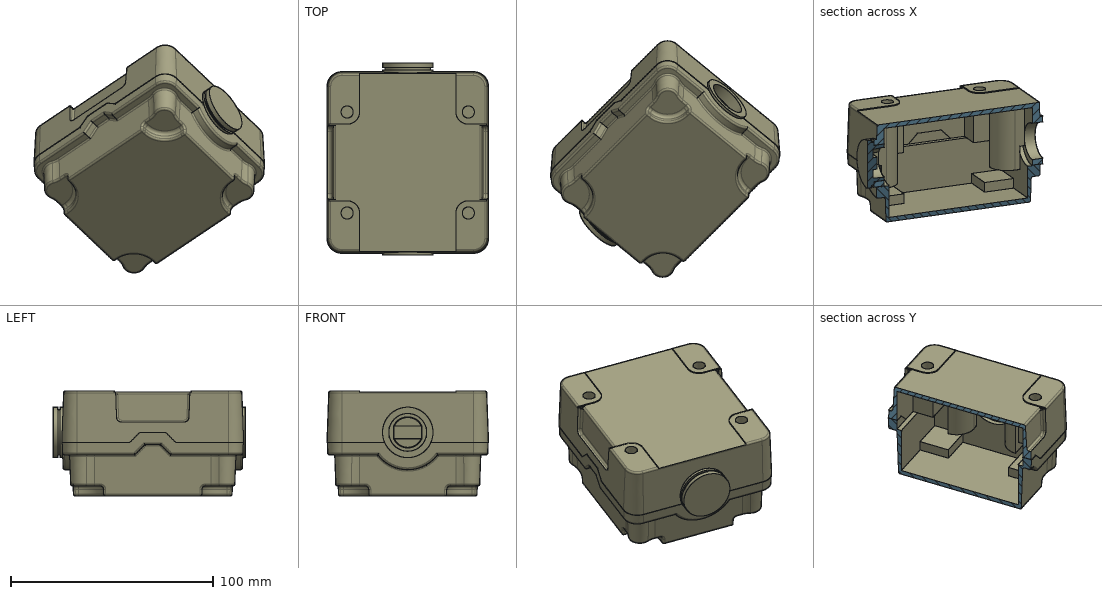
import cadquery as cq
import math

DRAFT = 2.0
EDGE_RADIUS = 1.0

HALF_X = 40.0
HALF_Y = 45.0
CORNER_RADIUS = 7.5
HOUSING_HEIGHT = 25.5
HOUSING_WALL = 5.0
CEILING = 3.0
CAVITY_X = HALF_X - HOUSING_WALL
CAVITY_Y = HALF_Y - HOUSING_WALL

PAD_HEIGHT = 0.5
PAD_X = 23.85
PAD_Y = 19.0
PAD_RADIUS = 6.0
MOUNT_X = 30.0
MOUNT_Y = 25.0
MOUNT_DIAMETER = 6.0
MOUNT_DEPTH = 20.0

GRIP_BOTTOM_Z = 10.0
GRIP_DEPTH = 2.15
GRIP_BOTTOM_HALF_WIDTH = 17.85
GRIP_CORNER_RADIUS = 2.5
GRIP_DRAFT = 3.5

PORT_Z = 5.0
PORT_DIAMETER = 18.7
COLLAR_DIAMETER = 25.0
COLLAR_END = 45.9
POST_X = 9.3
POST_RADIUS = 9.5
POST_ARC_Y = 34.8
POST_BOTTOM_Z = -12.0

FLANGE_DEPTH = 6.1
TONGUE_TOP_HALF_WIDTH = 6.4
TONGUE_HEIGHT = 5.0
TONGUE_BASE_HALF_WIDTH = TONGUE_TOP_HALF_WIDTH + TONGUE_HEIGHT
SKIRT_RADIUS = 18.5
FLANGE_ROOT_RADIUS = 0.75

LID_X = 35.2
LID_Y = 40.2
LID_BOTTOM_Z = -26.5
LID_WALL = 2.5
LID_CAVITY_X = 32.5
LID_CAVITY_Y = 37.5
COLUMN_INSET = 5.2
COLUMN_X = LID_X - COLUMN_INSET
COLUMN_Y = LID_Y - COLUMN_INSET
COLUMN_RADIUS = 6.4
COLUMN_BLEND_RADIUS = 9.8

UNDERCUT_X = 19.3
UNDERCUT_Y = 24.3
UNDERCUT_TOP_Z = -21.5
UNDERCUT_SIZE = 40.0
UNDERCUT_CORNER_RADIUS = 12.5
UNDERCUT_TOP_RADIUS = 1.8

PLUG_END = 49.37
PLUG_HEAD_THICKNESS = 2.4
PLUG_NECK_DIAMETER = 22.6
PLUG_INNER_END = CAVITY_Y
POCKET_RADIUS = 7.7
POCKET_HALF_WIDTH = 7.0
POCKET_DEPTH = 6.0
POCKET_DRAFT = 3.0
BAR_HALF_HEIGHT = 3.25
BAR_HEIGHT = 2.0

CORNERS = [(sx, sy) for sx in (-1, 1) for sy in (-1, 1)]
BIG = 200.0

PICK_GAP = 1.0
PICK_TOP_Z = -0.5


def box(x0, x1, y0, y1, z0, z1):
    """Axis-aligned box given by any two opposite corners."""
    return cq.Workplane("XY").box(abs(x1 - x0), abs(y1 - y0), abs(z1 - z0)).translate(
        ((x0 + x1) / 2, (y0 + y1) / 2, (z0 + z1) / 2)
    )


def y_cylinder(diameter, y0, y1):
    """Cylinder on the port axis between two Y positions."""
    plane = cq.Plane(origin=(0, y0, PORT_Z), xDir=(1, 0, 0), normal=(0, 1, 0))
    return cq.Workplane(plane).circle(diameter / 2).extrude(y1 - y0)


def drafted_block(base_z, direction, height):
    """Rounded block that narrows away from its full-size base; direction is +1 up or -1 down."""
    plane = cq.Plane(origin=(0, 0, base_z), xDir=(1, 0, 0), normal=(0, 0, direction))
    outline = cq.Sketch().rect(2 * HALF_X, 2 * HALF_Y).vertices().fillet(CORNER_RADIUS)
    return cq.Workplane(plane).placeSketch(outline).extrude(height, taper=DRAFT)


def tongue(offset):
    """Trapezoid along X, offset square to its sides below the tongue outline."""
    shift = offset * math.tan(math.pi / 8)
    base = TONGUE_BASE_HALF_WIDTH - shift
    top = TONGUE_TOP_HALF_WIDTH - shift
    z0 = -offset
    z1 = TONGUE_HEIGHT - offset
    skirt_z = z0 - BIG
    profile = [(-base, skirt_z), (-base, z0), (-top, z1), (top, z1), (base, z0), (base, skirt_z)]
    return cq.Workplane("YZ").polyline(profile).close().extrude(BIG / 2, both=True)


def tongue_pair():
    """Both tongues, running from the cavity out past the housing's X sides."""
    sides = box(-BIG, BIG, -BIG, BIG, 0, BIG).cut(box(-CAVITY_X, CAVITY_X, -BIG, BIG, -BIG, BIG))
    return tongue(0).intersect(sides)


def grip_wall_x(z):
    """X of the recess back wall at a height; the wall leans inwards going up."""
    bottom_x = HALF_X - GRIP_BOTTOM_Z * math.tan(math.radians(DRAFT)) - GRIP_DEPTH
    return bottom_x - (z - GRIP_BOTTOM_Z) * math.tan(math.radians(GRIP_DRAFT))


def grip_half_width(rise):
    """Half width of the recess at a distance above its bottom."""
    return GRIP_BOTTOM_HALF_WIDTH + rise * math.tan(math.radians(DRAFT))


def grip_cutter():
    """Finger recess on the +X side, with rounded corners and a filleted foot."""
    lean = math.radians(GRIP_DRAFT)
    plane = cq.Plane(
        origin=(grip_wall_x(GRIP_BOTTOM_Z), 0, GRIP_BOTTOM_Z),
        xDir=(0, 1, 0),
        normal=(math.cos(lean), 0, math.sin(lean)),
    )
    height = HOUSING_HEIGHT
    bottom = grip_half_width(0)
    top = grip_half_width(height)
    cutter = (
        cq.Workplane(plane)
        .polyline([(-bottom, 0), (bottom, 0), (top, height), (-top, height)])
        .close()
        .extrude(3 * GRIP_DEPTH)
    )
    outward = cq.selectors.ParallelDirSelector(plane.zDir)
    cutter = cutter.edges(outward).edges("<Z").fillet(GRIP_CORNER_RADIUS)
    back_wall = cq.selectors.DirectionMinMaxSelector(plane.zDir, False)
    return cutter.faces(back_wall).edges("not(>Z)").fillet(EDGE_RADIUS)


def grip_rim_cutter():
    """Sliver that rounds the edge between the lowered roof and the +X recess wall."""
    lean = math.radians(GRIP_DRAFT)
    top_z = HOUSING_HEIGHT - PAD_HEIGHT
    rim_x = grip_wall_x(top_z)
    tangent = EDGE_RADIUS / math.tan(math.pi / 4 + lean / 2)
    wall_point = (rim_x + tangent * math.sin(lean), top_z - tangent * math.cos(lean))
    outer_x = rim_x + EDGE_RADIUS
    return (
        cq.Workplane("XZ")
        .moveTo(rim_x - tangent, top_z)
        .radiusArc(wall_point, EDGE_RADIUS)
        .lineTo(outer_x, wall_point[1])
        .lineTo(outer_x, top_z)
        .close()
        .extrude(grip_half_width(top_z - GRIP_BOTTOM_Z), both=True)
    )


def inner_post():
    """Post hung from the ceiling beside a port, rounded towards the box centre."""
    end_y = POST_ARC_Y - POST_RADIUS
    outer_x = POST_X + POST_RADIUS
    post = (
        cq.Workplane("XY")
        .workplane(offset=POST_BOTTOM_Z)
        .moveTo(POST_X, CAVITY_Y)
        .lineTo(POST_X, POST_ARC_Y)
        .radiusArc((outer_x, end_y), -POST_RADIUS)
        .lineTo(outer_x, CAVITY_Y)
        .close()
        .extrude(HOUSING_HEIGHT - CEILING - POST_BOTTOM_Z)
    )
    lid_wall = box(-BIG, BIG, LID_CAVITY_Y, BIG, POST_BOTTOM_Z, 0)
    return post.cut(lid_wall)


def corner_boxes(x, y, z0, z1):
    """One open-ended box beyond (x, y) in every quadrant."""
    return [box(sx * x, sx * BIG, sy * y, sy * BIG, z0, z1) for sx, sy in CORNERS]


def make_housing():
    top_z = HOUSING_HEIGHT - PAD_HEIGHT
    body = drafted_block(0, 1, HOUSING_HEIGHT).faces(">Z").edges().fillet(EDGE_RADIUS)

    roof = box(-BIG, BIG, -BIG, BIG, top_z, BIG)
    for pad in corner_boxes(PAD_X, PAD_Y, top_z, BIG):
        roof = roof.cut(pad.edges("|Z").fillet(PAD_RADIUS))
    body = body.cut(roof)

    grip = grip_cutter()
    body = body.cut(grip).cut(grip.mirror("YZ"))
    rim = grip_rim_cutter()
    body = body.cut(rim).cut(rim.mirror("YZ"))

    cavity = box(-CAVITY_X, CAVITY_X, -CAVITY_Y, CAVITY_Y, 0, HOUSING_HEIGHT - CEILING)
    for pad_block in corner_boxes(PAD_X, PAD_Y, 0, BIG):
        cavity = cavity.cut(pad_block)
    body = body.cut(cavity).cut(tongue_pair())
    for sy in (-1, 1):
        body = body.union(y_cylinder(COLLAR_DIAMETER, sy * CAVITY_Y, sy * COLLAR_END))
        body = body.cut(y_cylinder(PORT_DIAMETER, 0, sy * BIG))
    post = inner_post()
    for side_post in (post, post.mirror("YZ")):
        body = body.union(side_post).union(side_post.mirror("XZ"))
    mount_points = [(sx * MOUNT_X, sy * MOUNT_Y) for sx, sy in CORNERS]
    holes = (
        cq.Workplane("XY")
        .workplane(offset=HOUSING_HEIGHT - MOUNT_DEPTH)
        .pushPoints(mount_points)
        .circle(MOUNT_DIAMETER / 2)
        .extrude(MOUNT_DEPTH)
    )
    return body.cut(holes)


def make_flange():
    """Solid flange with tongues; its lower edge follows the parting line at a constant distance."""
    flange = drafted_block(TONGUE_HEIGHT, -1, SKIRT_RADIUS + TONGUE_HEIGHT)
    below_parting = box(-BIG, BIG, -BIG, BIG, -FLANGE_DEPTH, 0)
    skirts = y_cylinder(2 * SKIRT_RADIUS, -BIG, BIG).intersect(box(-BIG, BIG, -BIG, BIG, -BIG, 0))
    flange = flange.intersect(below_parting.union(skirts).union(tongue_pair()))
    notch = tongue(FLANGE_DEPTH).intersect(box(-BIG, BIG, -BIG, BIG, -FLANGE_DEPTH, 0))
    flange = flange.cut(notch)

    under = cq.selectors.BoxSelector((-LID_X, -LID_Y, -BIG), (LID_X, LID_Y, PICK_TOP_Z))
    inside = cq.selectors.BoxSelector(
        (-LID_X - PICK_GAP, -LID_Y - PICK_GAP, -BIG), (LID_X + PICK_GAP, LID_Y + PICK_GAP, BIG)
    )
    outside = cq.selectors.InverseSelector(inside)
    return flange.faces(under).edges(outside).fillet(EDGE_RADIUS)


def polar(centre, radius, angle):
    """Point at an angle on a circle."""
    return (centre[0] + radius * math.cos(angle), centre[1] + radius * math.sin(angle))


def lid_corner():
    """Outline points of the +X +Y corner: ends and middles of blend, column and blend arcs."""
    reach = COLUMN_RADIUS + COLUMN_BLEND_RADIUS
    across = LID_X + COLUMN_BLEND_RADIUS - COLUMN_X
    along = math.sqrt(reach**2 - across**2)
    tilt = math.atan2(along, across)
    column = (COLUMN_X, COLUMN_Y)
    blend = (LID_X + COLUMN_BLEND_RADIUS, COLUMN_Y - along)
    x_side = [
        (LID_X, blend[1]),
        polar(blend, COLUMN_BLEND_RADIUS, math.pi - tilt / 2),
        polar(column, COLUMN_RADIUS, -tilt),
    ]
    swap = COLUMN_Y - COLUMN_X
    y_side = [(y - swap, x + swap) for x, y in reversed(x_side)]
    return x_side + [polar(column, COLUMN_RADIUS, math.pi / 4)] + y_side


def lid_outline():
    """Rectangle with a round column at each corner, on a plane that extrudes downwards."""
    wire = cq.Workplane(cq.Plane(origin=(0, 0, 0), xDir=(1, 0, 0), normal=(0, 0, -1)))
    started = False
    for sx, sy in ((1, 1), (-1, 1), (-1, -1), (1, -1)):
        points = [(sx * x, sy * y) for x, y in lid_corner()]
        if sx * sy < 0:
            points.reverse()
        wire = wire.lineTo(*points[0]) if started else wire.moveTo(*points[0])
        started = True
        for middle, end in zip(points[1::2], points[2::2]):
            wire = wire.threePointArc(middle, end)
    return wire.close()


def undercut(sx, sy):
    """Open pocket below one corner column, with a rounded inner corner and ceiling edge."""
    end_x = UNDERCUT_X + UNDERCUT_SIZE
    end_y = UNDERCUT_Y + UNDERCUT_SIZE
    bottom_z = LID_BOTTOM_Z - UNDERCUT_CORNER_RADIUS
    block = box(sx * UNDERCUT_X, sx * end_x, sy * UNDERCUT_Y, sy * end_y, bottom_z, UNDERCUT_TOP_Z)
    inner_corner = cq.selectors.NearestToPointSelector((sx * UNDERCUT_X, sy * UNDERCUT_Y, UNDERCUT_TOP_Z))
    block = block.edges("|Z").edges(inner_corner).fillet(UNDERCUT_CORNER_RADIUS)
    return block.faces(">Z").edges().fillet(UNDERCUT_TOP_RADIUS)


def make_lid():
    body = lid_outline().extrude(-LID_BOTTOM_Z, taper=DRAFT)
    for sx, sy in CORNERS:
        body = body.cut(undercut(sx, sy))
    low_edges = cq.selectors.BoxSelector(
        (-BIG, -BIG, -BIG), (BIG, BIG, UNDERCUT_TOP_Z + PICK_GAP)
    )
    body = body.edges(low_edges).fillet(EDGE_RADIUS)

    body = body.union(make_flange())
    skirt_bottom_z = PORT_Z - SKIRT_RADIUS
    root = cq.selectors.BoxSelector(
        (-LID_X - PICK_GAP, -LID_Y - PICK_GAP, skirt_bottom_z + PICK_GAP),
        (LID_X + PICK_GAP, LID_Y + PICK_GAP, PICK_TOP_Z),
    )
    body = body.edges(root).fillet(FLANGE_ROOT_RADIUS)

    cavity = box(-LID_CAVITY_X, LID_CAVITY_X, -LID_CAVITY_Y, LID_CAVITY_Y, LID_BOTTOM_Z + LID_WALL, BIG)
    solid_corners = corner_boxes(
        UNDERCUT_X - LID_WALL, UNDERCUT_Y - LID_WALL, LID_BOTTOM_Z, UNDERCUT_TOP_Z + LID_WALL
    )
    for solid_corner in solid_corners:
        cavity = cavity.cut(solid_corner)
    body = body.cut(cavity)
    return body.cut(y_cylinder(COLLAR_DIAMETER, -BIG, BIG))


def make_plug():
    """Blind plug with a grip bar across the pocket in its inner end."""
    head_start = PLUG_END - PLUG_HEAD_THICKNESS
    body = y_cylinder(COLLAR_DIAMETER, head_start, PLUG_END)
    body = body.union(y_cylinder(PLUG_NECK_DIAMETER, COLLAR_END, head_start))
    body = body.union(y_cylinder(PORT_DIAMETER, PLUG_INNER_END, COLLAR_END))

    chord_z = math.sqrt(POCKET_RADIUS**2 - POCKET_HALF_WIDTH**2)
    mouth = cq.Plane(origin=(0, PLUG_INNER_END, PORT_Z), xDir=(-1, 0, 0), normal=(0, 1, 0))
    pocket = (
        cq.Workplane(mouth)
        .moveTo(POCKET_HALF_WIDTH, -chord_z)
        .lineTo(POCKET_HALF_WIDTH, chord_z)
        .threePointArc((0, POCKET_RADIUS), (-POCKET_HALF_WIDTH, chord_z))
        .lineTo(-POCKET_HALF_WIDTH, -chord_z)
        .threePointArc((0, -POCKET_RADIUS), (POCKET_HALF_WIDTH, -chord_z))
        .close()
        .extrude(POCKET_DEPTH, taper=POCKET_DRAFT)
    )
    floor_y = PLUG_INNER_END + POCKET_DEPTH
    floor = cq.Plane(origin=(0, floor_y, PORT_Z), xDir=(1, 0, 0), normal=(0, -1, 0))
    bar_outline = cq.Workplane(floor).rect(4 * POCKET_RADIUS, 2 * BAR_HALF_HEIGHT)
    bar = bar_outline.extrude(BAR_HEIGHT, taper=POCKET_DRAFT)
    return body.cut(pocket.cut(bar))


housing = make_housing()
lid = make_lid()
plug = make_plug()
result = cq.Compound.makeCompound([body.solids().val() for body in (housing, lid, plug)])